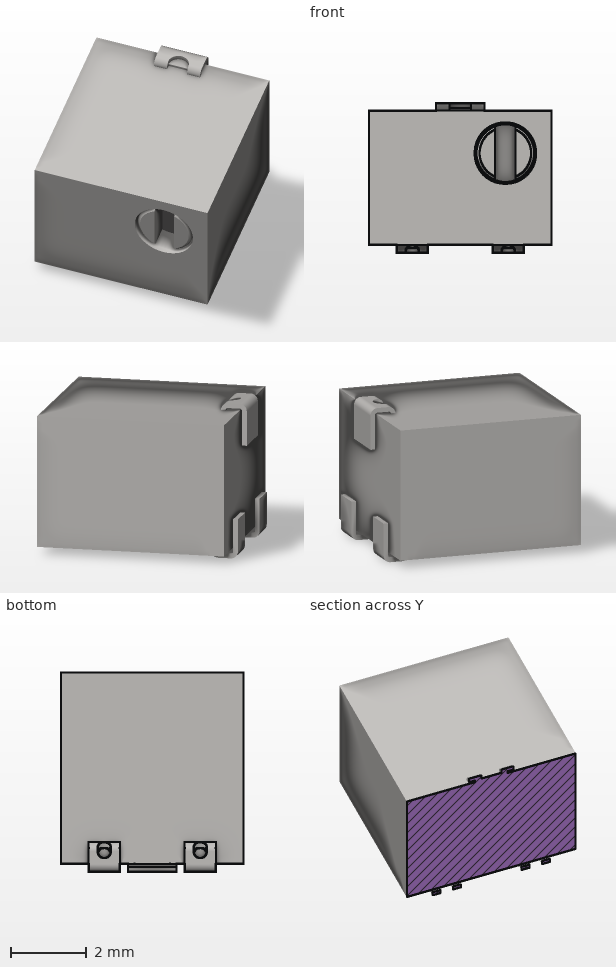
import cadquery as cq
import math


housing_width = 4.83
housing_depth = 5.07
housing_height = 3.555

screw_x = 1.195
screw_z = 2.43
bore_radius = 0.815
bore_depth = 1.005
screw_radius = 0.765
screw_recess = 0.05
screw_chamfer = 0.085
slot_width = 0.55
slot_depth = 0.635

strip_thickness = 0.125
bend_radius = 0.19
leg_gap = 0.085
leg_back_y = housing_depth + leg_gap + strip_thickness

top_width = 1.29
top_standoff = 0.195
top_leg = 1.125
top_bend_start = 0.51
top_bend_angle = 90.0
top_notch_radius = 0.28
top_notch_inset = 0.585
pad_width = 0.95
pad_depth = 0.36

bottom_width = 0.83
bottom_spacing = 2.54
bottom_standoff = 0.21
bottom_leg = 1.065
bottom_bend_start = 0.54
bottom_bend_angle = 55.0
bottom_hole_radius = 0.175
bottom_hole_z = -0.18


def terminal(x_center, width, standoff, leg, bend_start, bend_angle):
    """Bent strip below the plane Z = 0: an upright leg, a flat foot and a toe rising to the plane."""
    angle = math.radians(bend_angle)
    inner_radius = bend_radius - strip_thickness
    foot_z = -standoff
    bend_z = foot_z + bend_radius
    heel_y = leg_back_y - bend_radius
    toe_y = leg_back_y - bend_start

    def toe_point(radius, turn):
        return (toe_y - radius * math.sin(turn), bend_z - radius * math.cos(turn))

    def heel_point(radius, turn):
        return (heel_y + radius * math.sin(turn), bend_z - radius * math.cos(turn))

    def toe_end(radius):
        y, z = toe_point(radius, angle)
        return (y + z / math.tan(angle), 0)

    quarter = math.pi / 2
    leg_top = foot_z + leg
    profile = (
        cq.Workplane("YZ", origin=(x_center, 0, 0))
        .moveTo(leg_back_y, leg_top)
        .lineTo(leg_back_y, bend_z)
        .threePointArc(heel_point(bend_radius, quarter / 2), heel_point(bend_radius, 0))
        .lineTo(*toe_point(bend_radius, 0))
        .threePointArc(toe_point(bend_radius, angle / 2), toe_point(bend_radius, angle))
        .lineTo(*toe_end(bend_radius))
        .lineTo(*toe_end(inner_radius))
        .lineTo(*toe_point(inner_radius, angle))
        .threePointArc(toe_point(inner_radius, angle / 2), toe_point(inner_radius, 0))
        .lineTo(*heel_point(inner_radius, 0))
        .threePointArc(heel_point(inner_radius, quarter / 2), heel_point(inner_radius, quarter))
        .lineTo(leg_back_y - strip_thickness, leg_top)
        .close()
    )
    return profile.extrude(width / 2, both=True)


def bottom_terminal(x_center):
    """Terminal under the housing; its round hole follows the bend from the foot into the toe."""
    strip = terminal(
        x_center, bottom_width, bottom_standoff, bottom_leg, bottom_bend_start, bottom_bend_angle
    )
    hole_y = leg_back_y - bottom_bend_start
    foot_hole = (
        cq.Workplane("XY", origin=(x_center, hole_y, -bottom_standoff))
        .circle(bottom_hole_radius)
        .extrude(strip_thickness)
    )
    toe_hole = (
        cq.Workplane("XZ", origin=(x_center, hole_y, bottom_hole_z))
        .circle(bottom_hole_radius)
        .extrude(bottom_standoff + bend_radius)
    )
    return strip.cut(foot_hole).cut(toe_hole)


def top_terminal():
    """Terminal hooked over the top face, with a round-ended notch in its toe and a pad under it."""
    strip = terminal(0, top_width, top_standoff, top_leg, top_bend_start, top_bend_angle)
    strip = strip.mirror("XY").translate((0, 0, housing_height))

    top_face = cq.Workplane("XY", origin=(0, leg_back_y - top_notch_inset, housing_height))
    notch_end = top_face.circle(top_notch_radius).extrude(top_standoff)
    notch_mouth = top_face.box(
        2 * top_notch_radius, bend_radius, top_standoff, centered=(True, False, False)
    ).translate((0, -bend_radius, 0))

    pad = cq.Workplane("XY", origin=(0, housing_depth - pad_depth, housing_height)).box(
        pad_width, pad_depth, top_standoff - strip_thickness, centered=(True, False, False)
    )
    return strip.cut(notch_end).cut(notch_mouth).union(pad)


def front_plane(depth):
    """Plane parallel to the front face at a depth behind it, centred on the screw and facing +Y."""
    return cq.Workplane(cq.Plane((screw_x, depth, screw_z), xDir=(1, 0, 0), normal=(0, 1, 0)))


def make_housing():
    """Block with the screw bore and the three terminals it carries."""
    block = cq.Workplane("XY").box(
        housing_width, housing_depth, housing_height, centered=(True, False, False)
    )
    block = block.cut(front_plane(0).circle(bore_radius).extrude(bore_depth))
    block = block.union(top_terminal())
    for side in (-1, 1):
        block = block.union(bottom_terminal(side * bottom_spacing / 2))
    return block


def make_screw():
    """Slotted screw with a chamfered head, seated on the bottom of the bore."""
    shank = (
        front_plane(screw_recess)
        .circle(screw_radius)
        .extrude(bore_depth - screw_recess)
        .faces("<Y")
        .chamfer(screw_chamfer)
    )
    slot = front_plane(screw_recess).rect(slot_width, 2 * screw_radius).extrude(slot_depth)
    return shank.cut(slot)


housing = make_housing()
screw = make_screw()

result = cq.Compound.makeCompound([housing.val(), screw.val()])